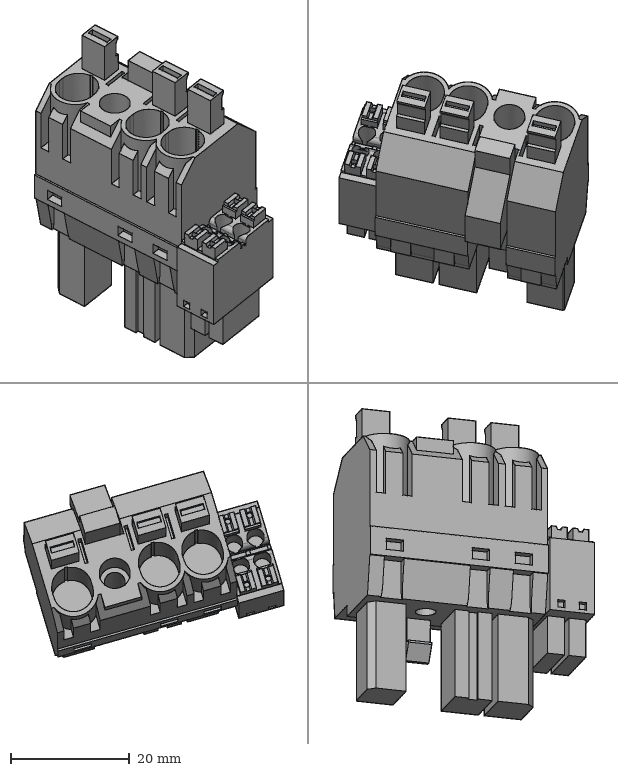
import cadquery as cq


POLE_PITCH = 7.6
END_MARGIN = 4.3
POLES = [END_MARGIN + i * POLE_PITCH for i in (0, 2, 3)]
SCREW_X = END_MARGIN + POLE_PITCH
HOUSING_LENGTH = 2 * END_MARGIN + 3 * POLE_PITCH
HOUSING_DEPTH = 20.0
HOUSING_TOP = 29.25
FRONT_CHAMFER = 3.65
BACK_CHAMFER = 4.85
FLANGE_PROUD = 0.35
FLANGE_BOTTOM = 6.8
FLANGE_TOP = 11.85
FRONT_TAPER = 1.3
BACK_TAPER = 0.55
BACK_TAPER_BOTTOM = 2.65
STEP_HEIGHT = 1.95
STEP_Y = 12.55

FUNNEL_Y = 5.75
FUNNEL_RADIUS = 3.4
FUNNEL_STRAIGHT = 0.9
FUNNEL_WALL = 0.85
KEY_WIDTH = 0.5
KEY_DEPTH = 0.15
SLOT_FLOOR = 18.1
SLOT_INNER = 1.5
SLOT_OUTER = 3.2

WINDOW_WIDTH = 3.0
WINDOW_BOTTOM = 7.9
WINDOW_HEIGHT = 2.0
WINDOW_DEPTH = 1.45
RECESS_Y = 1.7
RECESS_WIDTH = 3.5
RECESS_FLARE = 0.15
RECESS_FLARE_HEIGHT = 1.35
GROOVE_OFFSET = 3.55
GROOVE_WIDTH = 0.55
GROOVE_FRONT = 9.45
GROOVE_BACK = 13.75
GROOVE_DEPTH = 3.15

SCREW_Y = 6.4
SCREW_HOLE_RADIUS = 1.745
SCREW_HEAD_RADIUS = 2.6
SCREW_HEAD_DEPTH = 7.8
BOSS_WIDTH = 6.45
BOSS_FRONT = 1.25

LATCH_WIDTH = 6.15
LATCH_GAP = 0.3
LATCH_FRONT = 13.85
LATCH_SHOULDER = 16.95
LATCH_BACK = 22.95
LATCH_BOTTOM = 14.35
LATCH_TOP = 32.2
LATCH_SLOPE_BOTTOM = 21.6
WEB_HEIGHT = 5.2

HOOK_WIDTH = 4.1
HOOK_BACK = 11.65
HOOK_SHANK_FRONT = 10.15
HOOK_NOSE_FRONT = 9.4
HOOK_TIP_FRONT = 11.0
HOOK_BOTTOM = -7.35
HOOK_NOSE_BOTTOM = -4.6
HOOK_NOSE_TOP = -4.2

SHROUD_WIDTH = 6.55
SHROUD_FRONT = 3.65
SHROUD_BACK = 11.35
SHROUD_LENGTH = 15.6
SHROUD_CHAMFER_X = 1.2
SHROUD_CHAMFER_Y = 1.1
SHROUD_BACK_CHAMFER = 0.25
SHROUD_BACK_SETBACK = 0.4
KEYWAY_WIDTH = 1.6
KEYWAY_DEPTH = 0.55

TAB_WIDTH = 4.9
TAB_FRONT = 10.1
TAB_BACK = 13.8
TAB_HEIGHT = 7.3
TAB_FOOT_HEIGHT = 3.3
TAB_WAIST_BACK = 13.25
TAB_HEAD_BACK = 13.65
TAB_HEAD_EDGE = 0.5
TAB_CURVE_DROP = 1.3
TAB_SLOT_WIDTH = 4.0
TAB_SLOT_BREADTH = 1.05
TAB_SLOT_Y = 11.85
TAB_SLOT_DEPTH = 1.05

MODULE_WIDTH = 7.9
MODULE_FRONT = -1.2
MODULE_DEPTH = 16.0
MODULE_TOP = 13.4
MODULE_Y = MODULE_FRONT + MODULE_DEPTH / 2
SIGNAL_PITCH = POLE_PITCH / 2
MODULE_X = HOUSING_LENGTH + MODULE_WIDTH / 2
SIGNALS = [MODULE_X - SIGNAL_PITCH / 2, MODULE_X + SIGNAL_PITCH / 2]
LIP_WIDTH = 1.2
LIP_TOP = 12.85
WIRE_HOLE_RADIUS = 1.45
WIRE_HOLE_OFFSET = 2.05
WIRE_HOLE_DEPTH = 6.25
CHANNEL_HALF = 0.6
CHANNEL_DEPTH = 1.55
CHANNEL_ROUND = 0.85
RIB_HALF = 0.35
RIB_HEIGHT = 0.5
RIB_NOTCH_WIDTH = 3.1
RIB_NOTCH_DEPTH = 0.25
PORT_WIDTH = 1.3
PORT_BOTTOM = 0.6
PORT_DEPTH = 1.0
PLUG_WIDTH = 3.0
PLUG_DEPTH = 9.75
PLUG_LENGTH = 6.65

BUTTON_WIDTH = 2.8
BUTTON_DEPTH = 3.35
BUTTON_TOP = 15.5
BUTTON_SEAT = 13.05
BUTTON_GROOVE_TOP_WIDTH = 1.15
BUTTON_GROOVE_FLOOR_WIDTH = 0.6
BUTTON_GROOVE_DEPTH = 0.5
BUTTON_STEP_LENGTH = 0.35
BUTTON_STEP_DEPTH = 0.6
BUTTON_HOLE_RADIUS = 0.5
BUTTON_HOLE_OFFSET = 1.15
BUTTON_HOLE_DEPTH = 1.05


def box(x0, x1, y0, y1, z0, z1):
    """Box between two opposite corners."""
    return cq.Workplane("XY").box(x1 - x0, y1 - y0, z1 - z0, centered=False).translate((x0, y0, z0))


def centred_box(x, width, y0, y1, z0, z1):
    """Box that is centred on x along X."""
    return box(x - width / 2, x + width / 2, y0, y1, z0, z1)


def cylinder(x, y, radius, z0, z1):
    """Upright cylinder."""
    return cq.Workplane("XY", origin=(x, y, z0)).circle(radius).extrude(z1 - z0)


def side_profile(points, x, width):
    """Closed (Y, Z) outline extruded along X and centred on x."""
    return cq.Workplane("YZ", origin=(x - width / 2, 0, 0)).polyline(points).close().extrude(width)


def obround(x, radius, z0, z1):
    """Upright column with the outline of a wire funnel."""
    length = FUNNEL_STRAIGHT + 2 * radius
    sketch = cq.Workplane("XY", origin=(x, FUNNEL_Y, z0)).slot2D(length, 2 * radius, 90)
    return sketch.extrude(z1 - z0)


def housing_block():
    """Long block with chamfered top, a flange all along and a tapered foot."""
    outline = [
        (FRONT_TAPER, 0),
        (0, FLANGE_BOTTOM),
        (-FLANGE_PROUD, FLANGE_BOTTOM),
        (-FLANGE_PROUD, FLANGE_TOP),
        (0, FLANGE_TOP),
        (0, HOUSING_TOP - FRONT_CHAMFER),
        (FRONT_CHAMFER, HOUSING_TOP),
        (HOUSING_DEPTH - BACK_CHAMFER, HOUSING_TOP),
        (HOUSING_DEPTH, HOUSING_TOP - BACK_CHAMFER),
        (HOUSING_DEPTH, FLANGE_TOP),
        (HOUSING_DEPTH + FLANGE_PROUD, FLANGE_TOP),
        (HOUSING_DEPTH + FLANGE_PROUD, FLANGE_BOTTOM),
        (HOUSING_DEPTH, FLANGE_BOTTOM),
        (HOUSING_DEPTH - BACK_TAPER, BACK_TAPER_BOTTOM),
        (HOUSING_DEPTH - BACK_TAPER, STEP_HEIGHT),
        (STEP_Y, STEP_HEIGHT),
        (STEP_Y, 0),
    ]
    return side_profile(outline, HOUSING_LENGTH / 2, HOUSING_LENGTH)


def front_slots(x):
    """Two upright slots in the front wall, with a tongue left standing between them."""
    both = centred_box(x, 2 * SLOT_OUTER, -FLANGE_PROUD, FUNNEL_Y, SLOT_FLOOR, HOUSING_TOP)
    tongue = centred_box(x, 2 * SLOT_INNER, -FLANGE_PROUD, FUNNEL_Y, SLOT_FLOOR, HOUSING_TOP)
    return both.cut(tongue)


def foot_recess(x):
    """Upright-walled recess in the tapered front of the foot, flared at its lower end."""
    half = RECESS_WIDTH / 2
    outline = [
        (x - half - RECESS_FLARE, 0),
        (x - half, RECESS_FLARE_HEIGHT),
        (x - half, FLANGE_BOTTOM),
        (x + half, FLANGE_BOTTOM),
        (x + half, RECESS_FLARE_HEIGHT),
        (x + half + RECESS_FLARE, 0),
    ]
    return cq.Workplane("XZ").polyline(outline).close().extrude(-RECESS_Y)


def shrouds():
    """Plug shrouds, each with its own keying: a chamfered side or a keyway."""
    backs = [SHROUD_BACK - SHROUD_BACK_SETBACK, SHROUD_BACK, SHROUD_BACK]
    left, middle, right = [
        centred_box(x, SHROUD_WIDTH, SHROUD_FRONT, back, -SHROUD_LENGTH, 0) for x, back in zip(POLES, backs)
    ]
    left = left.edges("|Z and <X and <Y").chamfer(SHROUD_CHAMFER_Y, SHROUD_CHAMFER_X)
    left = left.edges("|Z and <X and >Y").chamfer(SHROUD_BACK_CHAMFER)
    keyway_back = SHROUD_FRONT + KEYWAY_DEPTH
    middle = middle.cut(
        centred_box(POLES[1], KEYWAY_WIDTH, SHROUD_FRONT, keyway_back, -SHROUD_LENGTH, 0)
    )
    right = right.edges("|Z and >X and <Y").chamfer(SHROUD_CHAMFER_Y, SHROUD_CHAMFER_X)
    return [left, middle, right]


def latch():
    """Lever that stands free in its slot and is joined to the housing by a web."""
    outline = [
        (LATCH_FRONT, LATCH_BOTTOM),
        (LATCH_FRONT, LATCH_TOP),
        (LATCH_SHOULDER, LATCH_TOP),
        (LATCH_SHOULDER, LATCH_SLOPE_BOTTOM + LATCH_BACK - LATCH_SHOULDER),
        (LATCH_BACK, LATCH_SLOPE_BOTTOM),
        (LATCH_BACK, LATCH_BOTTOM),
    ]
    web = centred_box(
        SCREW_X, LATCH_WIDTH, STEP_Y, LATCH_FRONT, LATCH_BOTTOM, LATCH_BOTTOM + WEB_HEIGHT
    )
    return side_profile(outline, SCREW_X, LATCH_WIDTH).union(web)


def hook():
    """Locking hook with a ramped nose toward the front."""
    outline = [
        (HOOK_BACK, 0),
        (HOOK_BACK, HOOK_BOTTOM),
        (HOOK_TIP_FRONT, HOOK_BOTTOM),
        (HOOK_NOSE_FRONT, HOOK_NOSE_BOTTOM),
        (HOOK_NOSE_FRONT, HOOK_NOSE_TOP),
        (HOOK_SHANK_FRONT, HOOK_NOSE_TOP),
        (HOOK_SHANK_FRONT, 0),
    ]
    return side_profile(outline, SCREW_X, HOOK_WIDTH)


def make_housing():
    """Power housing with funnels, latch, hook and plug shrouds."""
    body = housing_block()

    for x in POLES:
        body = body.cut(front_slots(x))
    for x in POLES:
        body = body.union(obround(x, FUNNEL_RADIUS + FUNNEL_WALL, SLOT_FLOOR, HOUSING_TOP))

    boss_bottom = HOUSING_TOP - FRONT_CHAMFER
    body = body.union(centred_box(SCREW_X, BOSS_WIDTH, BOSS_FRONT, SCREW_Y, boss_bottom, HOUSING_TOP))

    for x in POLES:
        body = body.cut(obround(x, FUNNEL_RADIUS, SLOT_FLOOR, HOUSING_TOP))
        key_back = FUNNEL_Y + FUNNEL_STRAIGHT / 2 + FUNNEL_RADIUS + KEY_DEPTH
        body = body.cut(centred_box(x, KEY_WIDTH, FUNNEL_Y, key_back, SLOT_FLOOR, HOUSING_TOP))
        body = body.cut(
            centred_box(
                x,
                WINDOW_WIDTH,
                -FLANGE_PROUD,
                WINDOW_DEPTH - FLANGE_PROUD,
                WINDOW_BOTTOM,
                WINDOW_BOTTOM + WINDOW_HEIGHT,
            )
        )
        body = body.cut(foot_recess(x))
        rib_front = HOUSING_DEPTH - 2 * BACK_TAPER
        body = body.union(
            centred_box(x, RECESS_WIDTH, rib_front, HOUSING_DEPTH, BACK_TAPER_BOTTOM, FLANGE_BOTTOM)
        )

    groove_floor = HOUSING_TOP - GROOVE_DEPTH
    for x in (POLES[0] + GROOVE_OFFSET, POLES[1] - GROOVE_OFFSET, POLES[1] + GROOVE_OFFSET):
        body = body.cut(centred_box(x, GROOVE_WIDTH, GROOVE_FRONT, GROOVE_BACK, groove_floor, HOUSING_TOP))

    body = body.cut(cylinder(SCREW_X, SCREW_Y, SCREW_HOLE_RADIUS, 0, HOUSING_TOP))
    head_floor = HOUSING_TOP - SCREW_HEAD_DEPTH
    body = body.cut(cylinder(SCREW_X, SCREW_Y, SCREW_HEAD_RADIUS, head_floor, HOUSING_TOP))

    slot_width = LATCH_WIDTH + 2 * LATCH_GAP
    body = body.cut(centred_box(SCREW_X, slot_width, STEP_Y, LATCH_BACK, 0, HOUSING_TOP))

    for added in [latch(), hook(), *shrouds()]:
        body = body.union(added)
    return body


def make_tab(x):
    """Push tab on the housing top, waisted at the back and slotted for a screwdriver."""
    foot = HOUSING_TOP
    top = foot + TAB_HEIGHT
    tab = (
        cq.Workplane("YZ", origin=(x - TAB_WIDTH / 2, 0, 0))
        .moveTo(TAB_FRONT, foot)
        .lineTo(TAB_FRONT, top)
        .lineTo(TAB_HEAD_BACK, top)
        .lineTo(TAB_HEAD_BACK, top - TAB_HEAD_EDGE)
        .radiusArc((TAB_WAIST_BACK, top - TAB_CURVE_DROP), -TAB_CURVE_DROP)
        .lineTo(TAB_WAIST_BACK, foot + TAB_FOOT_HEIGHT)
        .lineTo(TAB_BACK, foot + TAB_FOOT_HEIGHT)
        .lineTo(TAB_BACK, foot)
        .close()
        .extrude(TAB_WIDTH)
    )
    slot_front = TAB_SLOT_Y - TAB_SLOT_BREADTH / 2
    slot_back = TAB_SLOT_Y + TAB_SLOT_BREADTH / 2
    return tab.cut(centred_box(x, TAB_SLOT_WIDTH, slot_front, slot_back, top - TAB_SLOT_DEPTH, top))


def button_span(side):
    """Front and back Y of the buttons on one side of the module: -1 front, 1 back."""
    outer = MODULE_Y + side * (MODULE_DEPTH / 2 - LIP_WIDTH)
    inner = outer - side * BUTTON_DEPTH
    return min(outer, inner), max(outer, inner)


def make_module():
    """Signal module with low lips, a rounded middle channel, wire holes and plugs."""
    x0 = HOUSING_LENGTH
    x1 = HOUSING_LENGTH + MODULE_WIDTH
    back = MODULE_FRONT + MODULE_DEPTH
    body = box(x0, x1, MODULE_FRONT, back, 0, MODULE_TOP)

    body = body.cut(box(x0, x1, MODULE_FRONT, MODULE_FRONT + LIP_WIDTH, LIP_TOP, MODULE_TOP))
    body = body.cut(box(x0, x1, back - LIP_WIDTH, back, LIP_TOP, MODULE_TOP))

    channel_floor = MODULE_TOP - CHANNEL_DEPTH
    channel_front = MODULE_Y - CHANNEL_HALF
    channel_back = MODULE_Y + CHANNEL_HALF
    body = body.cut(box(x0, x1, channel_front, channel_back, channel_floor, MODULE_TOP))
    rims = cq.selectors.BoxSelector(
        (x0 - 0.5, channel_front - RIB_HALF, LIP_TOP), (x1 + 0.5, channel_back + RIB_HALF, MODULE_TOP + 0.5)
    )
    body = body.edges("|X").edges(rims).fillet(CHANNEL_ROUND)

    rib_top = channel_floor + RIB_HEIGHT
    rib = box(x0, x1, MODULE_Y - RIB_HALF, MODULE_Y + RIB_HALF, channel_floor, rib_top)
    for x in SIGNALS:
        notch_floor = rib_top - RIB_NOTCH_DEPTH
        rib = rib.cut(
            centred_box(x, RIB_NOTCH_WIDTH, channel_front, channel_back, notch_floor, rib_top)
        )
    body = body.union(rib)

    for x in SIGNALS:
        for side in (-1, 1):
            seat_front, seat_back = button_span(side)
            body = body.cut(centred_box(x, BUTTON_WIDTH, seat_front, seat_back, BUTTON_SEAT, MODULE_TOP))
            hole_y = MODULE_Y + side * WIRE_HOLE_OFFSET
            hole_floor = MODULE_TOP - WIRE_HOLE_DEPTH
            body = body.cut(cylinder(x, hole_y, WIRE_HOLE_RADIUS, hole_floor, MODULE_TOP))
        port_back = MODULE_FRONT + PORT_DEPTH
        port_top = PORT_BOTTOM + PORT_WIDTH
        body = body.cut(centred_box(x, PORT_WIDTH, MODULE_FRONT, port_back, PORT_BOTTOM, port_top))
        plug_front = MODULE_Y - PLUG_DEPTH / 2
        plug_back = MODULE_Y + PLUG_DEPTH / 2
        body = body.union(centred_box(x, PLUG_WIDTH, plug_front, plug_back, -PLUG_LENGTH, 0))
    return body


def make_button(x, side):
    """Small push button with a tapered groove, a blind hole and a low step at its inner end."""
    front, back = button_span(side)
    button = centred_box(x, BUTTON_WIDTH, front, back, BUTTON_SEAT, BUTTON_TOP)

    groove_floor = BUTTON_TOP - BUTTON_GROOVE_DEPTH
    groove_outline = [
        (x - BUTTON_GROOVE_TOP_WIDTH / 2, BUTTON_TOP),
        (x + BUTTON_GROOVE_TOP_WIDTH / 2, BUTTON_TOP),
        (x + BUTTON_GROOVE_FLOOR_WIDTH / 2, groove_floor),
        (x - BUTTON_GROOVE_FLOOR_WIDTH / 2, groove_floor),
    ]
    groove = cq.Workplane("XZ", origin=(0, front, 0)).polyline(groove_outline).close().extrude(-BUTTON_DEPTH)
    button = button.cut(groove)

    if side < 0:
        step_front = back - BUTTON_STEP_LENGTH
        hole_y = front + BUTTON_HOLE_OFFSET
    else:
        step_front = front
        hole_y = back - BUTTON_HOLE_OFFSET
    step_back = step_front + BUTTON_STEP_LENGTH
    step_floor = BUTTON_TOP - BUTTON_STEP_DEPTH
    button = button.cut(centred_box(x, BUTTON_WIDTH, step_front, step_back, step_floor, BUTTON_TOP))
    hole_floor = groove_floor - BUTTON_HOLE_DEPTH
    return button.cut(cylinder(x, hole_y, BUTTON_HOLE_RADIUS, hole_floor, BUTTON_TOP))


housing = make_housing()
tabs = [make_tab(x) for x in POLES]
module = make_module()
buttons = [make_button(x, side) for x in SIGNALS for side in (-1, 1)]

result = cq.Compound.makeCompound(
    [
        housing.val(),
        *[tab.val() for tab in tabs],
        module.val(),
        *[button.val() for button in buttons],
    ]
)